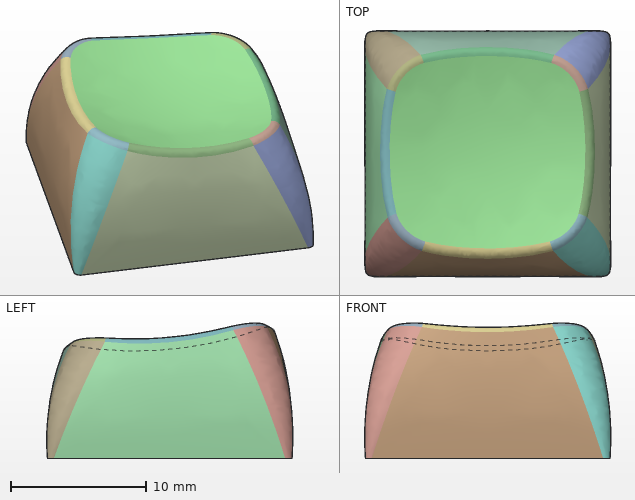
import cadquery as cq

base_width = 18.13
top_width = 12.87
top_depth = 12.5
base_corner_radius = 0.5
top_corner_radius = 5.2
middle_corner_radius = (top_corner_radius - base_corner_radius) / 3
side_bow = 1.7
body_height = 12.0
middle_fraction = 1 / 4
tilt = -6

scoop_drop = 1.05
scoop_side_inset = 2
scoop_side_depth = 1.42
scoop_middle_overhang = 2
scoop_middle_end_depth = 0.5
scoop_middle_depth = 2.83
rim_radius = 0.6


def square_section(corner_radius):
    return cq.Sketch().rect(base_width, base_width).vertices().fillet(corner_radius)


def bowed_section():
    """Rectangle with four outward-bowed sides and rounded corners."""
    crest_x = top_width / 2
    crest_y = top_depth / 2
    corner_x = crest_x - side_bow
    corner_y = crest_y - side_bow
    return (
        cq.Sketch()
        .arc((-corner_x, -corner_y), (-crest_x, 0), (-corner_x, corner_y))
        .arc((-corner_x, corner_y), (0, crest_y), (corner_x, corner_y))
        .arc((corner_x, corner_y), (crest_x, 0), (corner_x, -corner_y))
        .arc((corner_x, -corner_y), (0, -crest_y), (-corner_x, -corner_y))
        .assemble()
        .vertices()
        .fillet(top_corner_radius)
    )


def raised(section, fraction):
    """Lift and tilt a section by a fraction of the full height and tilt."""
    return section.moved(
        cq.Location(cq.Vector(0, 0, fraction * body_height), cq.Vector(1, 0, 0), fraction * tilt)
    )


def make_body():
    sections = [
        square_section(base_corner_radius),
        raised(square_section(middle_corner_radius), middle_fraction),
        raised(bowed_section(), 1),
    ]
    outlines = [section.reset().faces().vals()[0].outerWire() for section in sections]
    return cq.Workplane(cq.occ_impl.shapes.loft(outlines, cap=True, parametrization="chordal"))


def scoop_profile(plane, half_span, end_depth, middle_depth):
    """Closed profile with an arc at the bottom and a flat lid above the body."""
    half_base = base_width / 2
    return (
        plane.moveTo(-half_span, -end_depth)
        .threePointArc((0, -middle_depth), (half_span, -end_depth))
        .lineTo(half_base, body_height)
        .lineTo(-half_base, body_height)
        .close()
    )


def make_scoop():
    """Loft across X: shallow at both sides, deepest in the middle."""
    half_base = base_width / 2
    side_span = half_base - scoop_side_inset
    middle_span = half_base + scoop_middle_overhang
    start = cq.Workplane("YZ").transformed(
        offset=cq.Vector(0, body_height - scoop_drop, -half_base), rotate=cq.Vector(0, 0, tilt)
    )
    side = scoop_profile(start, side_span, 0, scoop_side_depth)
    middle = scoop_profile(
        side.workplane(offset=half_base), middle_span, scoop_middle_end_depth, scoop_middle_depth
    )
    far_side = scoop_profile(middle.workplane(offset=half_base), side_span, 0, scoop_side_depth)
    return far_side.loft(combine=False)


result = make_body().cut(make_scoop())
result = result.faces(">Z").edges().fillet(rim_radius)